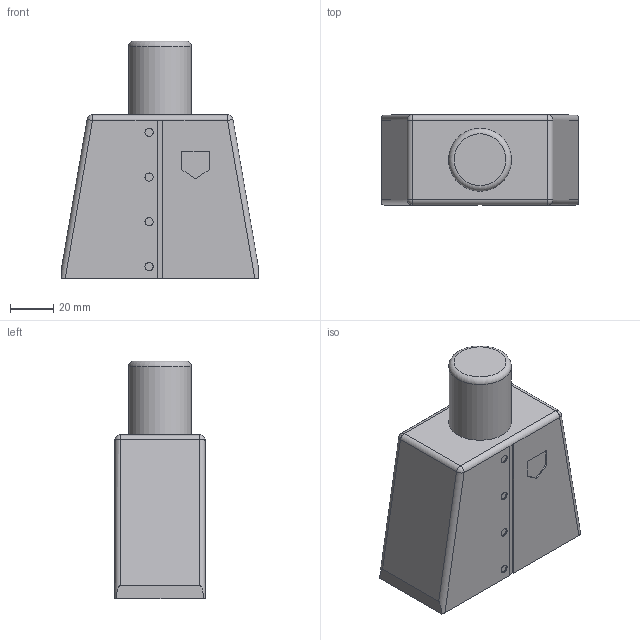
import cadquery as cq
import math

body_width = 91.14
body_depth = 41.91
body_height = 76.2
side_taper = math.radians(9.75)
skirt_height = 6.17
edge_radius = 2.54

neck_diameter = 29.21
neck_height = 34.29

recess_depth = 0.635
groove_width = 2.54
button_diameter = 3.81
button_count = 4
button_x = -5.08
first_button_z = 5.715
button_pitch = 20.8
pocket_left = 10.16
pocket_width = 12.7
pocket_top = 59.2
pocket_height = 12.7
pocket_side = 8.5

front_y = -body_depth / 2


def make_body():
    top_half = body_width / 2 - (body_height - skirt_height) * math.tan(side_taper)
    base_half = body_width / 2 + skirt_height * math.tan(side_taper)
    outline = [(-base_half, 0), (base_half, 0), (top_half, body_height), (-top_half, body_height)]
    wedge = cq.Workplane("XZ", origin=(0, body_depth / 2, 0)).polyline(outline).close().extrude(body_depth)
    rounded = wedge.edges("not <Z").fillet(edge_radius)
    trim = cq.Workplane("XY").box(body_width, body_depth, body_height, centered=(True, True, False))
    return rounded.intersect(trim)


def make_neck():
    neck = cq.Workplane("XY", origin=(0, 0, body_height)).circle(neck_diameter / 2).extrude(neck_height)
    return neck.faces(">Z").edges().fillet(edge_radius)


def front_sketch():
    return cq.Workplane("XZ", origin=(0, front_y, 0))


def make_groove():
    length = body_height - edge_radius
    return front_sketch().center(0, length / 2).rect(groove_width, length).extrude(-recess_depth)


def make_buttons():
    centers = [(button_x, first_button_z + i * button_pitch) for i in range(button_count)]
    return front_sketch().pushPoints(centers).circle(button_diameter / 2).extrude(-recess_depth)


def make_pocket():
    right = pocket_left + pocket_width
    outline = [
        (pocket_left, pocket_top),
        (right, pocket_top),
        (right, pocket_top - pocket_side),
        (pocket_left + pocket_width / 2, pocket_top - pocket_height),
        (pocket_left, pocket_top - pocket_side),
    ]
    return front_sketch().polyline(outline).close().extrude(-recess_depth)


result = make_body().union(make_neck())
result = result.cut(make_groove()).cut(make_buttons()).cut(make_pocket())